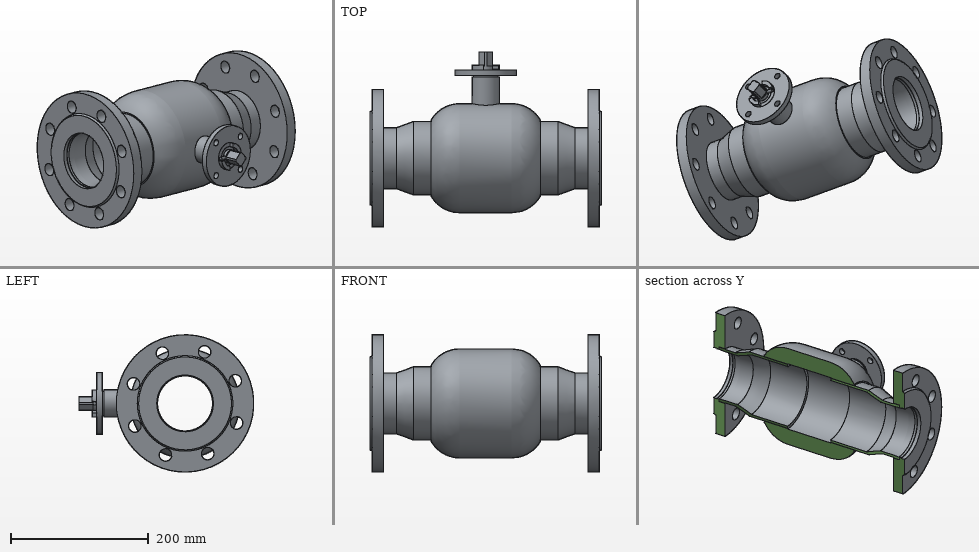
import cadquery as cq
import math


face_to_face = 337.0
flange_diameter = 200.0
flange_thickness = 20.0
raised_face_height = 3.4
raised_face_diameter = 135.0
raised_face_root_diameter = 139.0
flange_bore_diameter = 82.5
flange_bore_depth = 6.0
lip_bore_diameter = 81.0
lip_width = 4.0
socket_depth = flange_bore_depth + lip_width
bolt_count = 8
bolt_circle_diameter = 160.0
bolt_hole_diameter = 18.0
bolt_pattern_turn = 1.75

pipe_diameter = 89.0
pipe_bore_diameter = 79.8
pipe_wall = (pipe_diameter - pipe_bore_diameter) / 2
reducer_diameter = 107.0
reducer_start = 129.7
reducer_end = 105.2
reducer_bore_shift = 3.7

housing_diameter = 159.0
housing_half_length = 79.5
housing_cylinder_half_length = 37.7
housing_end_diameter = 111.0

neck_diameter = 40.0
neck_bore_diameter = 28.0
neck_top = 135.2
groove_diameter = 36.0
groove_height = 2.0
stop_wall_offset = 3.0

plate_diameter = 90.0
plate_thickness = 8.3
plate_bottom = 120.2
plate_top = plate_bottom + plate_thickness
plate_hole_diameter = 9.0
plate_bolt_circle_diameter = 70.0
plate_hole_count = 4

stem_top = 154.49
stem_diameter = 20.0
stem_square = 16.2
stem_square_bottom = 134.0
pin_diameter = 5.2
pin_height = 131.5
pin_length = 37.0


def cylinder_y(diameter, bottom, top):
    """Cylinder about the stem axis between two heights."""
    return cq.Workplane("XZ", origin=(0, bottom, 0)).circle(diameter / 2).extrude(bottom - top)


def make_flange(side):
    """Bolted flange with a tapered raised face; side is -1 or +1 along X."""
    face = side * face_to_face / 2
    root = face - side * raised_face_height
    lip = face - side * flange_bore_depth
    socket = face - side * socket_depth
    back = face - side * flange_thickness
    flange = (
        cq.Workplane("XY")
        .moveTo(face, flange_bore_diameter / 2)
        .lineTo(face, raised_face_diameter / 2)
        .lineTo(root, raised_face_root_diameter / 2)
        .lineTo(root, flange_diameter / 2)
        .lineTo(back, flange_diameter / 2)
        .lineTo(back, pipe_diameter / 2)
        .lineTo(socket, pipe_diameter / 2)
        .lineTo(socket, lip_bore_diameter / 2)
        .lineTo(lip, lip_bore_diameter / 2)
        .lineTo(lip, flange_bore_diameter / 2)
        .close()
        .revolve(360, (0, 0, 0), (1, 0, 0))
    )
    bolt_step = 360 / bolt_count
    bolt_holes = (
        cq.Workplane("YZ", origin=(-face_to_face / 2, 0, 0))
        .polarArray(bolt_circle_diameter / 2, bolt_step / 2 - bolt_pattern_turn, 360, bolt_count)
        .circle(bolt_hole_diameter / 2)
        .extrude(face_to_face)
    )
    return flange.cut(bolt_holes)


def make_end_pipe(side):
    """Pipe with a slightly tapered mouth that widens through a cone and enters the housing."""
    outer_end = side * (face_to_face / 2 - socket_depth)
    mouth_end = side * (face_to_face / 2 - flange_thickness)
    inner_end = side * housing_cylinder_half_length
    cone_start = side * reducer_start
    cone_end = side * reducer_end
    bore_shift = side * reducer_bore_shift
    return (
        cq.Workplane("XY")
        .moveTo(outer_end, pipe_diameter / 2)
        .lineTo(cone_start, pipe_diameter / 2)
        .lineTo(cone_end, reducer_diameter / 2)
        .lineTo(inner_end, reducer_diameter / 2)
        .lineTo(inner_end, reducer_diameter / 2 - pipe_wall)
        .lineTo(cone_end - bore_shift, reducer_diameter / 2 - pipe_wall)
        .lineTo(cone_start - bore_shift, pipe_bore_diameter / 2)
        .lineTo(mouth_end, pipe_bore_diameter / 2)
        .lineTo(outer_end, lip_bore_diameter / 2)
        .close()
        .revolve(360, (0, 0, 0), (1, 0, 0))
    )


def make_housing():
    """Barrel with rounded ends, bored to hold the end pipes."""
    barrel_radius = housing_diameter / 2
    end_radius = housing_end_diameter / 2
    bore_radius = reducer_diameter / 2
    straight = housing_cylinder_half_length
    tip = housing_half_length
    rise = barrel_radius - end_radius
    run = tip - straight
    arc_radius = (run**2 + rise**2) / (2 * rise)
    half_sweep = math.asin(run / arc_radius) / 2
    mid_x = straight + arc_radius * math.sin(half_sweep)
    mid_radius = barrel_radius - arc_radius * (1 - math.cos(half_sweep))
    return (
        cq.Workplane("XY")
        .moveTo(-tip, bore_radius)
        .lineTo(-tip, end_radius)
        .threePointArc((-mid_x, mid_radius), (-straight, barrel_radius))
        .lineTo(straight, barrel_radius)
        .threePointArc((mid_x, mid_radius), (tip, end_radius))
        .lineTo(tip, bore_radius)
        .close()
        .revolve(360, (0, 0, 0), (1, 0, 0))
    )


def make_neck():
    """Tube standing on the housing, grooved below the plate and milled into two stops on top."""
    housing_envelope = (
        cq.Workplane("YZ", origin=(-housing_cylinder_half_length, 0, 0))
        .circle(housing_diameter / 2)
        .extrude(2 * housing_cylinder_half_length)
    )
    neck = cylinder_y(neck_diameter, 0, neck_top)
    neck = neck.cut(cylinder_y(neck_bore_diameter, 0, neck_top))
    neck = neck.cut(housing_envelope)
    groove_bottom = plate_bottom - groove_height
    groove = cylinder_y(neck_diameter, groove_bottom, plate_bottom)
    groove = groove.cut(cylinder_y(groove_diameter, groove_bottom, plate_bottom))
    neck = neck.cut(groove)
    opening_size = neck_diameter
    opening_centre = opening_size / 2 - stop_wall_offset
    opening_height = neck_top - plate_top
    for direction in (-1, 1):
        offset = direction * opening_centre
        opening = (
            cq.Workplane("XY")
            .box(opening_size, opening_height, opening_size)
            .translate((offset, plate_top + opening_height / 2, offset))
        )
        neck = neck.cut(opening)
    return neck


def make_plate():
    """Round actuator plate that fits around the neck."""
    plate = cylinder_y(plate_diameter, plate_bottom, plate_top)
    plate = plate.cut(cylinder_y(neck_diameter, plate_bottom, plate_top))
    holes = (
        cq.Workplane("XZ", origin=(0, plate_bottom, 0))
        .polarArray(plate_bolt_circle_diameter / 2, 180 / plate_hole_count, 360, plate_hole_count)
        .circle(plate_hole_diameter / 2)
        .extrude(-plate_thickness)
    )
    return plate.cut(holes)


def make_pin():
    """Stop pin that crosses the stem along X and sticks out on both sides."""
    pin_start = (-pin_length / 2, pin_height, 0)
    return cq.Workplane("YZ", origin=pin_start).circle(pin_diameter / 2).extrude(pin_length)


def make_stem(pin):
    """Shaft guided by the neck, with a square end whose corners are rounded to the shaft."""
    guide = cylinder_y(neck_bore_diameter, housing_diameter / 2, plate_top)
    shaft = cylinder_y(stem_diameter, plate_top, stem_square_bottom)
    square = (
        cq.Workplane("XZ", origin=(0, stem_square_bottom, 0))
        .transformed(rotate=(0, 0, 45))
        .rect(stem_square, stem_square)
        .extrude(stem_square_bottom - stem_top)
    )
    square = square.intersect(cylinder_y(stem_diameter, stem_square_bottom, stem_top))
    return guide.union(shaft).union(square).cut(pin)


flanges = [make_flange(side) for side in (-1, 1)]
end_pipes = [make_end_pipe(side) for side in (-1, 1)]
housing = make_housing()
neck = make_neck()
plate = make_plate()
pin = make_pin()
stem = make_stem(pin)

result = cq.Compound.makeCompound([
    *[flange.val() for flange in flanges],
    *[end_pipe.val() for end_pipe in end_pipes],
    housing.val(),
    neck.val(),
    plate.val(),
    stem.val(),
    pin.val(),
])